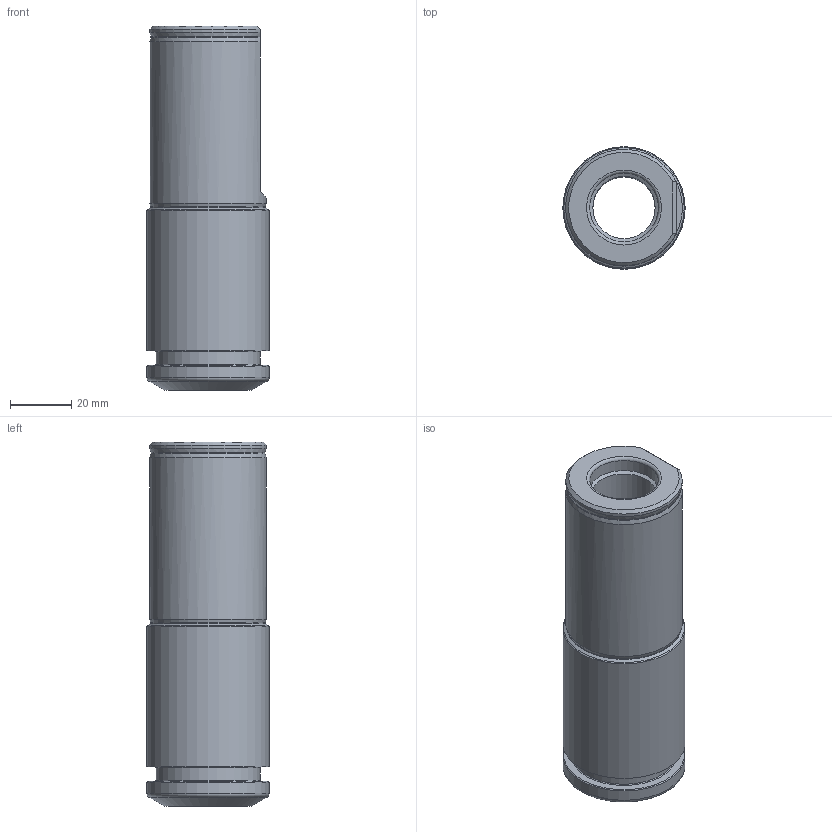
import cadquery as cq
import math

TOTAL_HEIGHT = 119.0
BODY_DIA = 40.0
UPPER_DIA = 38.1

FOOT_CONE_ANGLE = 30.0
FOOT_CONE_HEIGHT = 3.3
FOOT_RIM_RADIUS = 1.4
FOOT_RIM_TOP = 8.1
FOOT_RIM_CHAMFER = 0.3

NECK_DIA = 34.0
NECK_FILLET = 0.3
BODY_BOTTOM = 12.8

GROOVE_ROOT_WIDTH = 0.3

BODY_TOP = 59.0
BODY_TOP_CHAMFER = 0.3
SHOULDER_GROOVE_DIA = 37.5
SHOULDER_GROOVE_ROOT = 59.75
UPPER_BOTTOM = 61.0

TOP_GROOVE_DIA = 37.3
TOP_GROOVE_LOWER = TOTAL_HEIGHT - 5.2
TOP_GROOVE_ROOT = TOTAL_HEIGHT - 3.6
TOP_GROOVE_UPPER = TOTAL_HEIGHT - 2.0
TOP_CHAMFER = 1.0

FLAT_X = 17.0
FLAT_BOTTOM = 64.8

BORE_DIA = 20.38
MOUTH_DIA = 22.5
MOUTH_DEPTH = 5.0
MOUTH_STEP_DEPTH = 5.6
MOUTH_FILLET = 1.0


def make_body():
    """Revolve the outer profile, from the foot up to the plain top end."""
    body_r = BODY_DIA / 2
    upper_r = UPPER_DIA / 2
    neck_r = NECK_DIA / 2
    half_root = GROOVE_ROOT_WIDTH / 2
    foot_bottom_r = body_r - FOOT_CONE_HEIGHT / math.tan(math.radians(FOOT_CONE_ANGLE))

    turn = math.radians(90 - FOOT_CONE_ANGLE)
    tangent_length = FOOT_RIM_RADIUS * math.tan(turn / 2)
    arc_center_r = body_r - FOOT_RIM_RADIUS
    arc_center_z = FOOT_CONE_HEIGHT + tangent_length

    def rim_point(angle):
        """Point on the rim arc, turned down from the horizontal by angle."""
        return (
            arc_center_r + FOOT_RIM_RADIUS * math.cos(angle),
            arc_center_z - FOOT_RIM_RADIUS * math.sin(angle),
        )

    profile = (
        cq.Workplane("XZ")
        .moveTo(0, 0)
        .lineTo(foot_bottom_r, 0)
        .lineTo(*rim_point(turn))
        .threePointArc(rim_point(turn / 2), rim_point(0))
        .lineTo(body_r, FOOT_RIM_TOP - FOOT_RIM_CHAMFER)
        .lineTo(body_r - FOOT_RIM_CHAMFER, FOOT_RIM_TOP)
        .lineTo(neck_r + NECK_FILLET, FOOT_RIM_TOP)
        .tangentArcPoint((neck_r, FOOT_RIM_TOP + NECK_FILLET), relative=False)
        .lineTo(neck_r, BODY_BOTTOM - NECK_FILLET)
        .tangentArcPoint((neck_r + NECK_FILLET, BODY_BOTTOM), relative=False)
        .lineTo(body_r, BODY_BOTTOM)
        .lineTo(body_r, BODY_TOP - BODY_TOP_CHAMFER)
        .lineTo(body_r - BODY_TOP_CHAMFER, BODY_TOP)
        .lineTo(SHOULDER_GROOVE_DIA / 2, SHOULDER_GROOVE_ROOT - half_root)
        .lineTo(SHOULDER_GROOVE_DIA / 2, SHOULDER_GROOVE_ROOT + half_root)
        .lineTo(upper_r, UPPER_BOTTOM)
        .lineTo(upper_r, TOP_GROOVE_LOWER)
        .lineTo(TOP_GROOVE_DIA / 2, TOP_GROOVE_ROOT - half_root)
        .lineTo(TOP_GROOVE_DIA / 2, TOP_GROOVE_ROOT + half_root)
        .lineTo(upper_r, TOP_GROOVE_UPPER)
        .lineTo(upper_r, TOTAL_HEIGHT)
        .lineTo(0, TOTAL_HEIGHT)
        .close()
    )
    return profile.revolve(360, (0, 0, 0), (0, 1, 0))


def cut_flat(body):
    """Mill the flat, which runs out at its lower end along a 45 degree slope."""
    reach = BODY_DIA / 2 - FLAT_X
    cutter = (
        cq.Workplane("XZ")
        .moveTo(FLAT_X, TOTAL_HEIGHT)
        .lineTo(FLAT_X, FLAT_BOTTOM)
        .lineTo(FLAT_X + reach, FLAT_BOTTOM - reach)
        .lineTo(FLAT_X + reach, TOTAL_HEIGHT)
        .close()
        .extrude(BODY_DIA / 2, both=True)
    )
    return body.cut(cutter)


def cut_bore(body):
    """Cut the through bore, its wider mouth and the rounded mouth edge."""
    bore = (
        cq.Workplane("XZ")
        .lineTo(BORE_DIA / 2, 0)
        .lineTo(BORE_DIA / 2, TOTAL_HEIGHT - MOUTH_STEP_DEPTH)
        .lineTo(MOUTH_DIA / 2, TOTAL_HEIGHT - MOUTH_DEPTH)
        .lineTo(MOUTH_DIA / 2, TOTAL_HEIGHT - MOUTH_FILLET)
        .tangentArcPoint((MOUTH_DIA / 2 + MOUTH_FILLET, TOTAL_HEIGHT), relative=False)
        .lineTo(0, TOTAL_HEIGHT)
        .close()
        .revolve(360, (0, 0, 0), (0, 1, 0))
    )
    return body.cut(bore)


flatted_body = cut_flat(make_body())
chamfered_body = flatted_body.faces(">Z").edges().chamfer(TOP_CHAMFER)
result = cut_bore(chamfered_body)